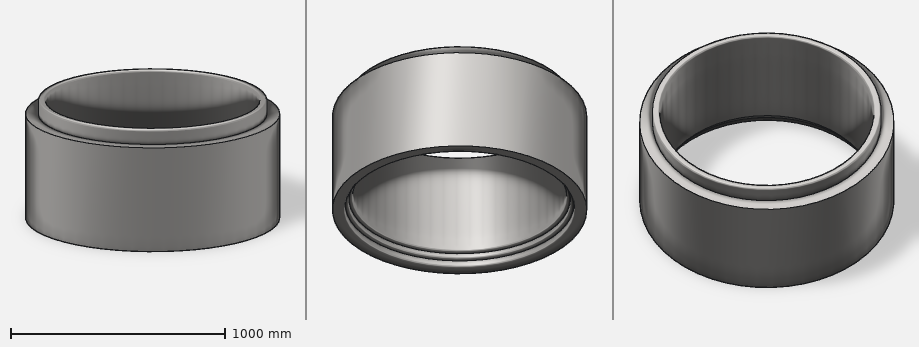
import cadquery as cq

outer_radius = 593.0
total_height = 574.0
bore_radius = 499.0
edge_rounding = 10.0

spigot_radius = 534.0
spigot_height = 71.0
shoulder_height = total_height - spigot_height

socket_clearance = 1.0
socket_depth = 64.0
mouth_depth = 35.0
mouth_radius = spigot_radius + socket_clearance
step_radius = (bore_radius + mouth_radius) / 2


def disc(radius, bottom, height):
    """Solid cylinder on the Z axis, starting at the given height."""
    return cq.Workplane("XY", origin=(0, 0, bottom)).circle(radius).extrude(height)


def inner_edge(radius, height):
    """Selector for the circular edge of the given radius at the given height."""
    margin = 1.0
    reach = radius + margin
    return cq.selectors.BoxSelector(
        (-reach, -reach, height - margin),
        (reach, reach, height + margin),
        boundingbox=True,
    )


ring = disc(outer_radius, 0, shoulder_height)
ring = ring.union(disc(spigot_radius, shoulder_height, spigot_height))
ring = ring.cut(disc(bore_radius, 0, total_height))

ring = ring.cut(disc(step_radius, 0, socket_depth))
ring = ring.cut(disc(mouth_radius, 0, mouth_depth))

ring = ring.faces(">Z").edges().fillet(edge_rounding)

socket_edges = (
    (bore_radius, socket_depth),
    (step_radius, mouth_depth),
    (mouth_radius, 0),
)
for radius, height in socket_edges:
    ring = ring.edges(inner_edge(radius, height)).fillet(edge_rounding)

result = ring